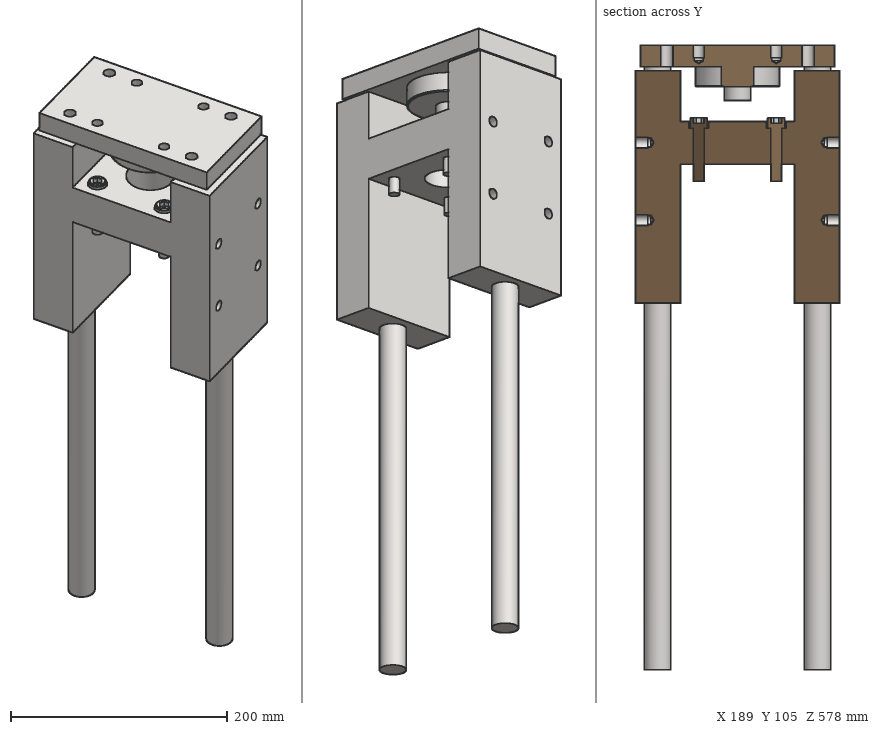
import cadquery as cq
import math

TOTAL_HEIGHT = 578.0

PLATE_WIDTH = 180.0
PLATE_DEPTH = 100.0
PLATE_THICKNESS = 20.0
PLATE_BOTTOM = TOTAL_HEIGHT - PLATE_THICKNESS
COUPLING_DIAMETER = 78.0
COUPLING_HEIGHT = 18.5
COUPLING_CHAMFER = 1.0
COUPLING_BOTTOM = PLATE_BOTTOM - COUPLING_HEIGHT
STUD_DIAMETER = 25.0
STUD_HEIGHT = 13.0
ROD_DIAMETER = 25.0
ROD_SPACING = 148.0

HOUSING_WIDTH = 189.0
HOUSING_DEPTH = 105.0
HOUSING_HEIGHT = 215.0
PLATE_GAP = 3.5
HOUSING_TOP = PLATE_BOTTOM - PLATE_GAP
HOUSING_BOTTOM = HOUSING_TOP - HOUSING_HEIGHT
LEG_GAP = 105.0
BRIDGE_DROP = 47.0
BRIDGE_THICKNESS = 40.0
BRIDGE_TOP = HOUSING_TOP - BRIDGE_DROP
BRIDGE_BOTTOM = BRIDGE_TOP - BRIDGE_THICKNESS
BRIDGE_BORE_DIAMETER = 45.0

BOLT_SPACING = 71.5
CLEARANCE_SPACING = 130.5
CLEARANCE_DIAMETER = 11.0
THREAD_DIAMETER = 10.0
THREAD_DEPTH = 11.5
TAP_DRILL_DIAMETER = 8.0
TAP_DRILL_DEPTH = 14.5
DRILL_POINT_ANGLE = 118.0
SIDE_HOLE_DROP = 66.5
SIDE_PATTERN_CENTRE = HOUSING_TOP - SIDE_HOLE_DROP - BOLT_SPACING / 2

SHANK_DIAMETER = 10.0
SHANK_PROTRUSION = 15.5
SHANK_END = BRIDGE_BOTTOM - SHANK_PROTRUSION
HEAD_DIAMETER = 16.0
HEAD_HEIGHT = 10.0
HEAD_PROTRUSION = 3.5
HEAD_CHAMFER = 1.0
HEAD_TOP = BRIDGE_TOP + HEAD_PROTRUSION
HEAD_SEAT = HEAD_TOP - HEAD_HEIGHT
COUNTERBORE_DIAMETER = 18.0
SOCKET_ACROSS_FLATS = 8.0
SOCKET_ACROSS_CORNERS = SOCKET_ACROSS_FLATS / math.cos(math.pi / 6)
SOCKET_DEPTH = 5.0


def pattern(spacing_x, spacing_y):
    """Corner points of a rectangle centred on the origin."""
    half_x = spacing_x / 2
    half_y = spacing_y / 2
    return [(x, y) for x in (-half_x, half_x) for y in (-half_y, half_y)]


BOLT_POINTS = pattern(BOLT_SPACING, BOLT_SPACING)
CLEARANCE_POINTS = pattern(CLEARANCE_SPACING, BOLT_SPACING)
ROD_POINTS = [(-ROD_SPACING / 2, 0), (ROD_SPACING / 2, 0)]
CENTRE = [(0, 0)]


def block(width, depth, bottom, top):
    """Rectangular block centred on the Z axis."""
    return cq.Workplane("XY", origin=(0, 0, bottom)).rect(width, depth).extrude(top - bottom)


def cylinders(points, diameter, bottom, top):
    """Upright cylinders at the given XY points."""
    centres = cq.Workplane("XY", origin=(0, 0, bottom)).pushPoints(points)
    return centres.circle(diameter / 2).extrude(top - bottom)


def cut_tapped_holes(body, face_plane):
    """Cut the bolt pattern of blind tapped holes, each ending in a drill point, into a face of the body."""
    thread_radius = THREAD_DIAMETER / 2
    drill_radius = TAP_DRILL_DIAMETER / 2
    tip_depth = TAP_DRILL_DEPTH + drill_radius / math.tan(math.radians(DRILL_POINT_ANGLE / 2))
    cutter = (
        cq.Workplane("XZ")
        .lineTo(thread_radius, 0)
        .lineTo(thread_radius, -THREAD_DEPTH)
        .lineTo(drill_radius, -THREAD_DEPTH)
        .lineTo(drill_radius, -TAP_DRILL_DEPTH)
        .lineTo(0, -tip_depth)
        .close()
        .revolve(360, (0, 0), (0, 1))
        .val()
    )
    for x, y in BOLT_POINTS:
        place = face_plane.location * cq.Location(cq.Vector(x, y, 0))
        body = body.cut(cq.Workplane(cutter.moved(place)))
    return body


def make_moving_plate():
    """Top plate in one piece with the central coupling and the two guide rods."""
    plate = block(PLATE_WIDTH, PLATE_DEPTH, PLATE_BOTTOM, TOTAL_HEIGHT)
    plate = plate.cut(cylinders(CLEARANCE_POINTS, CLEARANCE_DIAMETER, PLATE_BOTTOM, TOTAL_HEIGHT))
    plate = cut_tapped_holes(plate, cq.Plane((0, 0, TOTAL_HEIGHT), (1, 0, 0), (0, 0, 1)))

    coupling = cylinders(CENTRE, COUPLING_DIAMETER, COUPLING_BOTTOM, PLATE_BOTTOM)
    coupling = coupling.faces("<Z").chamfer(COUPLING_CHAMFER)
    stud = cylinders(CENTRE, STUD_DIAMETER, COUPLING_BOTTOM - STUD_HEIGHT, COUPLING_BOTTOM)
    rods = cylinders(ROD_POINTS, ROD_DIAMETER, 0, PLATE_BOTTOM)
    return plate.union(coupling).union(stud).union(rods)


def make_housing():
    """H-shaped housing bored for the rods and the screws, with a plain bore through the bridge centre."""
    housing = block(HOUSING_WIDTH, HOUSING_DEPTH, HOUSING_BOTTOM, HOUSING_TOP)
    housing = housing.cut(block(LEG_GAP, HOUSING_DEPTH, BRIDGE_TOP, HOUSING_TOP))
    housing = housing.cut(block(LEG_GAP, HOUSING_DEPTH, HOUSING_BOTTOM, BRIDGE_BOTTOM))

    housing = housing.cut(cylinders(ROD_POINTS, ROD_DIAMETER, HOUSING_BOTTOM, HOUSING_TOP))
    housing = housing.cut(cylinders(CENTRE, BRIDGE_BORE_DIAMETER, BRIDGE_BOTTOM, BRIDGE_TOP))
    housing = housing.cut(cylinders(BOLT_POINTS, SHANK_DIAMETER, BRIDGE_BOTTOM, BRIDGE_TOP))
    housing = housing.cut(cylinders(BOLT_POINTS, COUNTERBORE_DIAMETER, HEAD_SEAT, BRIDGE_TOP))

    for side in (-1, 1):
        face_centre = (side * HOUSING_WIDTH / 2, 0, SIDE_PATTERN_CENTRE)
        housing = cut_tapped_holes(housing, cq.Plane(face_centre, (0, 1, 0), (side, 0, 0)))
    return housing


def make_screw(point):
    """Socket head screw standing through the bridge at an XY point."""
    head = cylinders([point], HEAD_DIAMETER, HEAD_SEAT, HEAD_TOP).faces(">Z").chamfer(HEAD_CHAMFER)
    socket = cq.Workplane("XY", origin=(*point, HEAD_TOP)).polygon(6, SOCKET_ACROSS_CORNERS)
    shank = cylinders([point], SHANK_DIAMETER, SHANK_END, HEAD_SEAT)
    return head.cut(socket.extrude(-SOCKET_DEPTH)).union(shank)


moving_plate = make_moving_plate()
h_housing = make_housing()
screws = [make_screw(point).val() for point in BOLT_POINTS]

result = cq.Compound.makeCompound([moving_plate.val(), h_housing.val(), *screws])